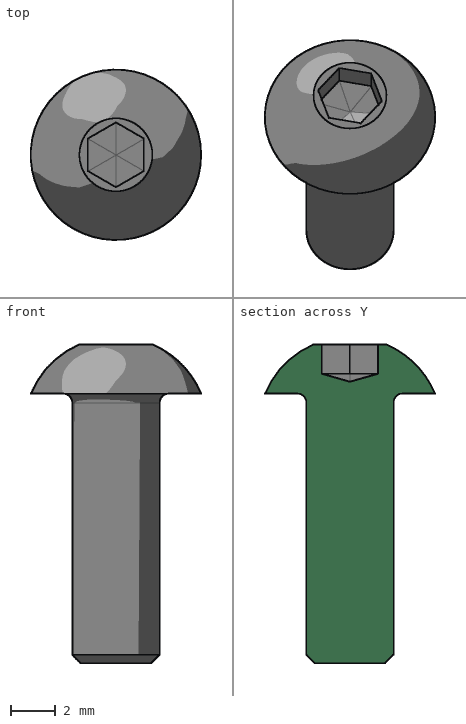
import cadquery as cq
import math

total_length = 14.2
head_height = 2.2
head_diameter = 7.6
head_top_diameter = 3.25
shank_diameter = 3.9
neck_fillet = 0.4
tip_chamfer = 0.38

socket_across_flats = 2.5
socket_depth = 1.3
socket_point_depth = 0.35

head_radius = head_diameter / 2
head_top_radius = head_top_diameter / 2
shank_radius = shank_diameter / 2
head_bottom = total_length - head_height
socket_across_corners = socket_across_flats / math.cos(math.pi / 6)


def dome_midpoint():
    """Point halfway along the dome arc, whose centre lies on the screw axis."""
    centre_z = (
        total_length**2 + head_top_radius**2 - head_bottom**2 - head_radius**2
    ) / (2 * head_height)
    dome_radius = math.hypot(head_radius, head_bottom - centre_z)
    rim_angle = math.atan2(head_bottom - centre_z, head_radius)
    top_angle = math.atan2(total_length - centre_z, head_top_radius)
    angle = (rim_angle + top_angle) / 2
    return dome_radius * math.cos(angle), centre_z + dome_radius * math.sin(angle)


def make_body():
    """Revolve the half profile of tip, shank, neck fillet and domed head."""
    profile = (
        cq.Workplane("XZ")
        .lineTo(shank_radius - tip_chamfer, 0)
        .lineTo(shank_radius, tip_chamfer)
        .lineTo(shank_radius, head_bottom - neck_fillet)
        .radiusArc((shank_radius + neck_fillet, head_bottom), neck_fillet)
        .lineTo(head_radius, head_bottom)
        .threePointArc(dome_midpoint(), (head_top_radius, total_length))
        .lineTo(0, total_length)
        .close()
    )
    return profile.revolve(360, (0, 0, 0), (0, 1, 0))


def make_socket():
    """Hexagonal prism, corners on the Y direction, that ends in a six-sided point."""
    floor_z = total_length - socket_depth
    corner_radius = socket_across_corners / 2
    corner_angles = [math.radians(90 + 60 * i) for i in range(6)]
    corners = [
        cq.Vector(corner_radius * math.cos(a), corner_radius * math.sin(a), floor_z)
        for a in corner_angles
    ]
    base = cq.Face.makeFromWires(cq.Wire.makePolygon(corners, close=True))
    prism = cq.Solid.extrudeLinear(base, cq.Vector(0, 0, socket_depth))

    apex = cq.Vector(0, 0, floor_z - socket_point_depth)
    faces = [base]
    for i, corner in enumerate(corners):
        triangle = cq.Wire.makePolygon([corner, corners[i - 1], apex], close=True)
        faces.append(cq.Face.makeFromWires(triangle))
    point = cq.Solid.makeSolid(cq.Shell.makeShell(faces))
    return cq.Workplane(prism).union(cq.Workplane(point))


result = make_body().cut(make_socket())